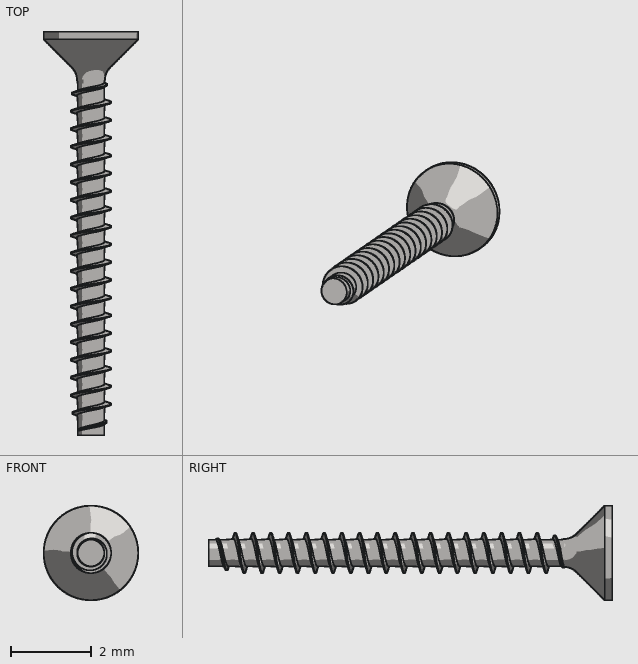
import cadquery as cq
import math

length = 10.0

head_radius = 2.35 / 2
rim_height = 0.19
countersink_angle = math.radians(45)
neck_radius = 0.35
neck_fillet = 0.42
neck_depth = 1.19
core_depth = 1.28
core_radius = 0.33

thread_radius = 0.5
pitch = 0.44
crest_width = 0.02
base_width = 0.11
ramp_height = 0.02
ramp_end_offset = 0.29
ramp_overlap = 0.002
root_overlap = 0.02
full_thread_start = 1.62
full_thread_end = 9.34
plus_x_crest_depth = 1.75
fade_length = 1.3 * pitch
crest_overlap = 0.01
faded_radius = core_radius - crest_overlap
ramp_fade_drop = 0.03
points_per_turn = 16

root_radius = core_radius - root_overlap
flank_run = (base_width - crest_width) / 2 / (thread_radius - core_radius)
root_offset = base_width / 2 + flank_run * root_overlap
ramp_start_offset = base_width / 2 - flank_run * ramp_height


def make_body():
    """Revolve the head, the filleted neck and the plain core about Y."""
    fillet_center_radius = neck_radius + neck_fillet

    def fillet_point(angle):
        radius = fillet_center_radius - neck_fillet * math.cos(angle)
        return radius, -neck_depth + neck_fillet * math.sin(angle)

    return (
        cq.Workplane("XY")
        .lineTo(head_radius, 0)
        .lineTo(head_radius, -rim_height)
        .lineTo(*fillet_point(countersink_angle))
        .threePointArc(fillet_point(countersink_angle / 2), fillet_point(0))
        .lineTo(core_radius, -core_depth)
        .lineTo(core_radius, -length)
        .lineTo(0, -length)
        .close()
        .revolve(360, (0, 0, 0), (0, 1, 0))
    )


def helix_edge(offset, start_depth, start_radius, end_depth, end_radius):
    """Helical edge between two depths; unequal radii make it conical."""
    steps = math.ceil((end_depth - start_depth) / pitch * points_per_turn)
    points = []
    for step in range(steps + 1):
        share = step / steps
        depth = start_depth + share * (end_depth - start_depth)
        radius = start_radius + share * (end_radius - start_radius)
        angle = 2 * math.pi * (depth - plus_x_crest_depth) / pitch
        points.append(cq.Vector(radius * math.cos(angle), -depth - offset, radius * math.sin(angle)))
    return cq.Edge.makeSpline(points)


def make_thread():
    """Thread ridge that rises out of the core at both ends."""
    crest_fade_drop = thread_radius - faded_radius
    profile = [
        (-root_offset, root_radius, ramp_fade_drop),
        (-crest_width / 2, thread_radius, crest_fade_drop),
        (crest_width / 2, thread_radius, crest_fade_drop),
        (ramp_start_offset, core_radius + ramp_height, ramp_fade_drop),
        (ramp_end_offset, core_radius - ramp_overlap, ramp_fade_drop),
        (ramp_end_offset, root_radius, ramp_fade_drop),
    ]
    full_length = full_thread_end - full_thread_start
    section_count = math.ceil(full_length / pitch)
    section_length = full_length / section_count
    stations = [
        (full_thread_start - fade_length, 1),
        *[(full_thread_start + index * section_length, 0) for index in range(section_count + 1)],
        (full_thread_end + fade_length, 1),
    ]
    faces = []
    first_corners = []
    last_corners = []
    for (start_depth, start_fade), (end_depth, end_fade) in zip(stations, stations[1:]):
        edges = [
            helix_edge(offset, start_depth, radius - start_fade * drop, end_depth, radius - end_fade * drop)
            for offset, radius, drop in profile
        ]
        for edge, next_edge in zip(edges, edges[1:] + edges[:1]):
            faces.append(cq.Face.makeRuledSurface(edge, next_edge))
        if not first_corners:
            first_corners = [edge.startPoint() for edge in edges]
        last_corners = [edge.endPoint() for edge in edges]
    for corners in (first_corners, last_corners):
        faces.append(cq.Face.makeFromWires(cq.Wire.makePolygon(corners, close=True)))
    return cq.Solid.makeSolid(cq.Shell.makeShell(faces))


envelope_radius = 2 * head_radius
envelope = cq.Workplane("XZ").circle(envelope_radius).extrude(length)
result = make_body().union(cq.Workplane(obj=make_thread())).intersect(envelope)